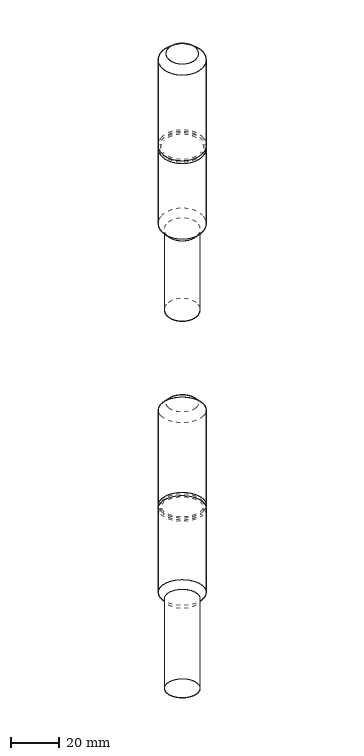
import cadquery as cq

TOTAL_LENGTH = 142.0
BODY_DIAMETER = 20.0
TOP_CHAMFER = 3.3
BOTTOM_CHAMFER_HEIGHT = 3.1
BODY_LENGTH = 95.8
RING_TOP_DEPTH = 50.0
RING_WIDTH = 1.5
RING_THICKNESS = 1.0
SHANK_DIAMETER = 14.9
TIP_HEIGHT = 2.3

body_radius = BODY_DIAMETER / 2
shank_radius = SHANK_DIAMETER / 2
groove_radius = body_radius - RING_THICKNESS
top_z = TOTAL_LENGTH / 2
tip_z = -TOTAL_LENGTH / 2
shoulder_z = top_z - BODY_LENGTH
ring_top_z = top_z - RING_TOP_DEPTH
ring_bottom_z = ring_top_z - RING_WIDTH


def revolve_about_z(profile):
    """Turn a closed (radius, z) outline around the Z axis."""
    return cq.Workplane("XZ").polyline(profile).close().revolve(360, (0, 0), (0, 1))


def make_punch():
    """Chamfered handle with a ring groove, stepping down to a cone-tipped shank."""
    return revolve_about_z([
        (0, tip_z),
        (shank_radius, tip_z + TIP_HEIGHT),
        (shank_radius, shoulder_z),
        (body_radius, shoulder_z + BOTTOM_CHAMFER_HEIGHT),
        (body_radius, ring_bottom_z),
        (groove_radius, ring_bottom_z),
        (groove_radius, ring_top_z),
        (body_radius, ring_top_z),
        (body_radius, top_z - TOP_CHAMFER),
        (body_radius - TOP_CHAMFER, top_z),
        (0, top_z),
    ])


def make_ring():
    """Marking ring that fills the groove flush with the handle."""
    return revolve_about_z([
        (groove_radius, ring_bottom_z),
        (body_radius, ring_bottom_z),
        (body_radius, ring_top_z),
        (groove_radius, ring_top_z),
    ])


punch = make_punch()
ring = make_ring()
result = cq.Compound.makeCompound([punch.val(), ring.val()])